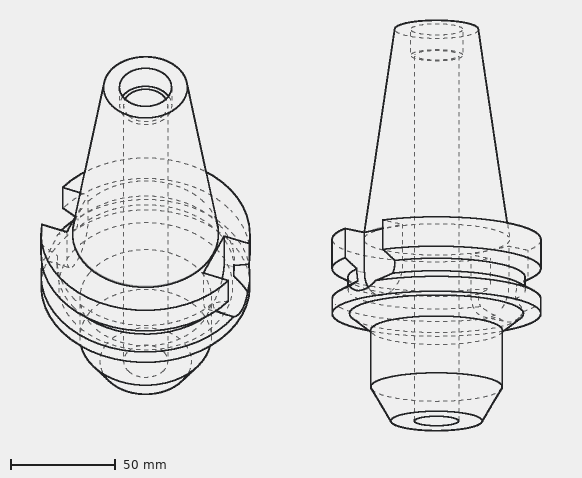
import cadquery as cq

total_height = 191.8

nose_radius = 21.9
body_radius = 31.5
nose_cone_height = 16.7
body_top = 44.5

flange_diameter = 100.0
flange_radius = flange_diameter / 2
flange_cone_radius = 41.6
flange_bottom = 52.5
flange_top = 89.0
groove_radius = 42.4
lower_rim_top = 59.8
groove_floor_bottom = 64.3
groove_floor_top = 70.4
upper_rim_bottom = 74.6

taper_ratio = 7 / 24
gauge_radius = 35.0
gauge_height = 90.0
taper_end_radius = gauge_radius - (total_height - gauge_height) * taper_ratio / 2

through_radius = 10.5
counterbore_radius = 12.5
counterbore_depth = 12.7

slot_width = 26.0
slot_floor_distance = 35.3
slot_bottom = 56.4
slot_arc_center = slot_bottom + slot_width / 2


def revolved_body():
    """Solid of revolution from nose to taper end."""
    outline = [
        (0, 0),
        (nose_radius, 0),
        (body_radius, nose_cone_height),
        (body_radius, body_top),
        (flange_cone_radius, flange_bottom),
        (flange_radius, flange_bottom),
        (flange_radius, lower_rim_top),
        (groove_radius, groove_floor_bottom),
        (groove_radius, groove_floor_top),
        (flange_radius, upper_rim_bottom),
        (flange_radius, flange_top),
        (gauge_radius, flange_top),
        (gauge_radius, gauge_height),
        (taper_end_radius, total_height),
        (0, total_height),
    ]
    return cq.Workplane("XZ").polyline(outline).close().revolve(360, (0, 0), (0, 1))


def drive_slot(side):
    """Round-bottomed cutter for one drive slot; side is -1 or +1 along X."""
    half_width = slot_width / 2
    return (
        cq.Workplane("YZ", origin=(side * slot_floor_distance, 0, 0))
        .moveTo(-half_width, flange_top)
        .lineTo(-half_width, slot_arc_center)
        .threePointArc((0, slot_bottom), (half_width, slot_arc_center))
        .lineTo(half_width, flange_top)
        .close()
        .extrude(side * flange_radius)
    )


def bore():
    """Through hole with a counterbore at the taper end."""
    through = cq.Workplane("XY").circle(through_radius).extrude(total_height)
    counterbore = (
        cq.Workplane("XY", origin=(0, 0, total_height - counterbore_depth))
        .circle(counterbore_radius)
        .extrude(counterbore_depth)
    )
    return through.union(counterbore)


result = revolved_body().cut(bore())
for slot_side in (-1, 1):
    result = result.cut(drive_slot(slot_side))